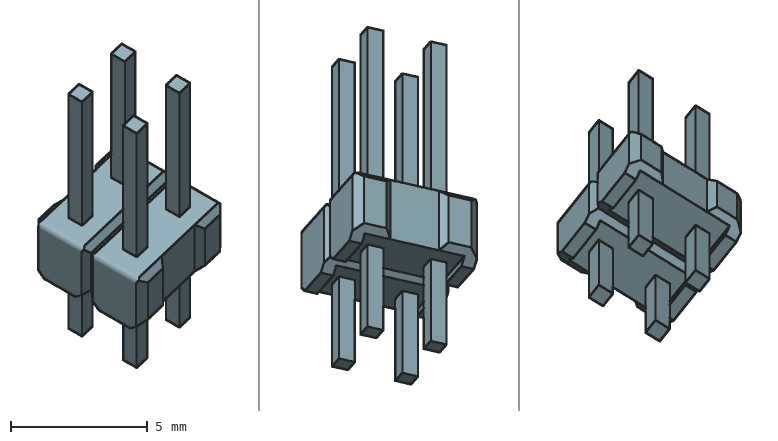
import cadquery as cq


pitch = 2.54
pins_per_side = 2
pin_width = 0.635
pin_length = 12.7
pin_above_body = 6.7

cell_count = 2
body_width = cell_count * pitch
body_depth = 5.0
body_height = 2.52
foot_height = 0.28
foot_depth = 0.5
top_edge_radius = 0.23

bevel = 0.265
groove_end_depth = 0.23
pad_corner_setback = 0.35
recess_width = 1.96

body_top = foot_height + body_height
half_width = body_width / 2
half_depth = body_depth / 2


def cell_profile(center_x):
    """Bevelled cell section in XZ, swept through the depth, lower bevels running down to the feet."""
    half_cell = pitch / 2
    top_half = half_cell - bevel
    foot_half = half_cell - bevel - foot_height
    side_bottom = foot_height + bevel
    side_top = body_top - bevel
    points = [
        (center_x - foot_half, 0),
        (center_x + foot_half, 0),
        (center_x + half_cell, side_bottom),
        (center_x + half_cell, side_top),
        (center_x + top_half, body_top),
        (center_x - top_half, body_top),
        (center_x - half_cell, side_top),
        (center_x - half_cell, side_bottom),
    ]
    return cq.Workplane("XZ").polyline(points).close().extrude(half_depth, both=True)


def plan_prism():
    """Plan outline with corner pads, recessed sides and groove-end notches."""
    recessed_x = half_width - bevel
    pad_front = half_depth - pad_corner_setback
    recess_end = recess_width / 2
    pad_back = recess_end + bevel
    right_side = [
        (recessed_x, -half_depth),
        (half_width, -pad_front),
        (half_width, -pad_back),
        (recessed_x, -recess_end),
        (recessed_x, recess_end),
        (half_width, pad_back),
        (half_width, pad_front),
        (recessed_x, half_depth),
    ]
    back_notch = [
        (bevel, half_depth),
        (0, half_depth - groove_end_depth),
        (-bevel, half_depth),
    ]
    left_side = [(-x, -y) for x, y in right_side]
    front_notch = [(-x, -y) for x, y in back_notch]
    outline = right_side + back_notch + left_side + front_notch
    return cq.Workplane("XY").polyline(outline).close().extrude(body_top)


def side_prism():
    """YZ section with rounded top edges and a foot under each end."""
    block = (
        cq.Workplane("XY")
        .box(body_width, body_depth, body_top, centered=(True, True, False))
        .edges("|X and >Z")
        .fillet(top_edge_radius)
    )
    gap = cq.Workplane("XY").box(
        body_width, body_depth - 2 * foot_depth, foot_height, centered=(True, True, False)
    )
    return block.cut(gap)


def spaced(count):
    """Positions of count items one pitch apart, centred on zero."""
    return [(i - (count - 1) / 2) * pitch for i in range(count)]


def pin(x, y):
    """Square pin running through the body."""
    bottom = body_top + pin_above_body - pin_length
    return (
        cq.Workplane("XY")
        .box(pin_width, pin_width, pin_length, centered=(True, True, False))
        .translate((x, y, bottom))
    )


cells = cq.Workplane("XY")
for cell_x in spaced(cell_count):
    cells = cells.union(cell_profile(cell_x))

result = cells.intersect(plan_prism()).intersect(side_prism())
for pin_x in spaced(cell_count):
    for pin_y in spaced(pins_per_side):
        result = result.union(pin(pin_x, pin_y))